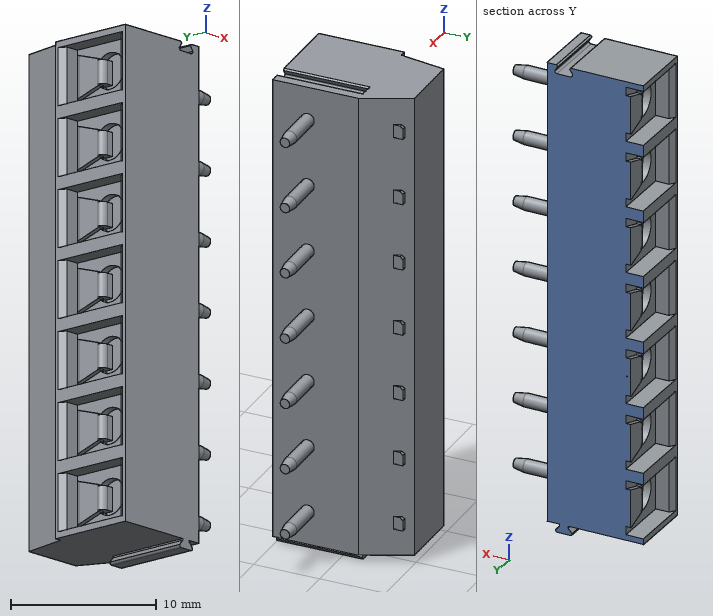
import cadquery as cq

POLE_COUNT = 7
PITCH = 5.08
LENGTH = POLE_COUNT * PITCH
OVERLAP = 0.2

BODY_WIDTH = 7.5
BODY_HEIGHT = 10.0
SHOULDER_Y = 6.5
SHOULDER_DEPTH = 0.5
TOP_LEFT_X = 1.1
TOP_RIGHT_X = 5.9

POCKET_BOTTOM_Y = 0.25
POCKET_TOP_Y = 6.27
POCKET_HEIGHT = 4.15
POCKET_DEPTH = 1.35
LEAD_IN_DEPTH = 0.3
POCKET_FLOOR_BOTTOM_Y = 0.67
POCKET_FLOOR_TOP_Y = 5.7

HOLE_Y = 2.65
HOLE_DIAMETER = 2.62
HOLE_DEPTH = 0.6

GUARD_HEIGHT = 0.37
GUARD_WIDE_Y = 5.58
GUARD_NARROW_Y = 3.43
GUARD_WIDE_WIDTH = 3.3
GUARD_NARROW_WIDTH = 1.94
TAB_WIDTH = 1.72
TAB_BEND_RADIUS = 0.45

PIN_Y = HOLE_Y
PIN_RADIUS = 0.5
PIN_TIP_RADIUS = 0.36
PIN_LENGTH = 3.7
PIN_TIP_LENGTH = 0.85

DOVETAIL_X = 6.2
DOVETAIL_HEIGHT = 0.68
DOVETAIL_SIDE_HEIGHT = 0.2
DOVETAIL_FILLET = 0.15
TONGUE_NECK_WIDTH = 0.7
TONGUE_WIDTH = 1.3
TONGUE_NECK_HEIGHT = 0.12
GROOVE_NECK_WIDTH = 0.88
GROOVE_WIDTH = 1.35
GROOVE_LEAD_IN = 0.12

LUG_LEFT_X = 5.5
LUG_RIGHT_X = 6.5
LUG_BOTTOM_Y = 8.5
LUG_TOP_Y = 9.4
LUG_CHAMFER = 0.2
LUG_LENGTH = 1.0


def pole_centres():
    """Z height of the middle of every pole."""
    return [(index + 0.5) * PITCH for index in range(POLE_COUNT)]


def extrude_along_z(outline, height, centre_z):
    """Prism from XY points, centred on the given Z."""
    plane = cq.Workplane("XY", origin=(0, 0, centre_z))
    return plane.polyline(outline).close().extrude(height / 2, both=True)


def make_body():
    outline = [
        (0, 0),
        (BODY_WIDTH, 0),
        (BODY_WIDTH, SHOULDER_Y),
        (TOP_RIGHT_X, BODY_HEIGHT),
        (TOP_LEFT_X, BODY_HEIGHT),
        (SHOULDER_DEPTH, SHOULDER_Y),
        (0, SHOULDER_Y),
    ]
    return cq.Workplane("XY").polyline(outline).close().extrude(LENGTH)


def make_pocket(z):
    """Rectangular opening with sloped lead-ins, plus the round wire hole."""
    outline = [
        (0, POCKET_BOTTOM_Y),
        (LEAD_IN_DEPTH, POCKET_FLOOR_BOTTOM_Y),
        (POCKET_DEPTH, POCKET_FLOOR_BOTTOM_Y),
        (POCKET_DEPTH, POCKET_FLOOR_TOP_Y),
        (LEAD_IN_DEPTH, POCKET_FLOOR_TOP_Y),
        (0, POCKET_TOP_Y),
    ]
    pocket = extrude_along_z(outline, POCKET_HEIGHT, z)
    hole_plane = cq.Workplane("YZ", origin=(POCKET_DEPTH, HOLE_Y, z))
    hole = hole_plane.circle(HOLE_DIAMETER / 2).extrude(HOLE_DEPTH)
    return pocket.union(hole)


def make_guard(z):
    """Tapered strip with a rounded wide end and a tab bent into the hole."""
    front_x = POCKET_DEPTH - GUARD_HEIGHT
    plate_plane = cq.Workplane("YZ", origin=(front_x, 0, z))
    plate_outline = [
        (GUARD_WIDE_Y, -GUARD_WIDE_WIDTH / 2),
        (GUARD_WIDE_Y, GUARD_WIDE_WIDTH / 2),
        (GUARD_NARROW_Y, GUARD_NARROW_WIDTH / 2),
        (GUARD_NARROW_Y, -GUARD_NARROW_WIDTH / 2),
    ]
    plate = plate_plane.polyline(plate_outline).close().extrude(GUARD_HEIGHT + OVERLAP)
    rounded = (
        cq.Workplane("XY", origin=(0, 0, z))
        .moveTo(front_x, GUARD_NARROW_Y)
        .lineTo(front_x, GUARD_WIDE_Y - GUARD_HEIGHT)
        .radiusArc((POCKET_DEPTH, GUARD_WIDE_Y), GUARD_HEIGHT)
        .lineTo(POCKET_DEPTH + OVERLAP, GUARD_WIDE_Y)
        .lineTo(POCKET_DEPTH + OVERLAP, GUARD_NARROW_Y)
        .close()
        .extrude(GUARD_WIDE_WIDTH, both=True)
    )
    bend_end_y = GUARD_NARROW_Y - TAB_BEND_RADIUS
    hole_bottom_x = POCKET_DEPTH + HOLE_DEPTH
    tab = (
        cq.Workplane("XY", origin=(0, 0, z))
        .moveTo(front_x, GUARD_NARROW_Y + OVERLAP)
        .lineTo(front_x, GUARD_NARROW_Y)
        .radiusArc((front_x + TAB_BEND_RADIUS, bend_end_y), -TAB_BEND_RADIUS)
        .lineTo(hole_bottom_x, bend_end_y)
        .lineTo(hole_bottom_x, GUARD_NARROW_Y + OVERLAP)
        .close()
        .extrude(TAB_WIDTH / 2, both=True)
    )
    return plate.intersect(rounded).union(tab)


def make_pin(z):
    """Round solder pin with a conical tip."""
    shank_length = PIN_LENGTH - PIN_TIP_LENGTH
    profile = [
        (-OVERLAP, 0),
        (-OVERLAP, PIN_RADIUS),
        (shank_length, PIN_RADIUS),
        (PIN_LENGTH, PIN_TIP_RADIUS),
        (PIN_LENGTH, 0),
    ]
    pin = cq.Workplane("XY").polyline(profile).close().revolve(360, (0, 0), (1, 0))
    return pin.translate((BODY_WIDTH, PIN_Y, z))


def make_lug(z):
    outline = [
        (LUG_LEFT_X, LUG_BOTTOM_Y),
        (LUG_RIGHT_X, LUG_BOTTOM_Y),
        (LUG_RIGHT_X, LUG_TOP_Y),
        (LUG_LEFT_X, LUG_TOP_Y),
    ]
    lug = extrude_along_z(outline, LUG_LENGTH, z)
    return lug.edges(">Y and >Z").chamfer(LUG_CHAMFER)


def extrude_dovetail(right_half, top_z):
    """Mirror half an XZ outline, measured down from top_z, and run it along Y."""
    left_half = [(-x, z) for x, z in reversed(right_half)]
    plane = cq.Workplane("XZ", origin=(DOVETAIL_X, 0, top_z))
    dovetail = plane.polyline(right_half + left_half).close().extrude(-SHOULDER_Y)
    return dovetail.edges("<Z and |Y").fillet(DOVETAIL_FILLET)


def make_tongue():
    right_half = [
        (TONGUE_NECK_WIDTH / 2, OVERLAP),
        (TONGUE_NECK_WIDTH / 2, -TONGUE_NECK_HEIGHT),
        (TONGUE_WIDTH / 2, DOVETAIL_SIDE_HEIGHT - DOVETAIL_HEIGHT),
        (TONGUE_WIDTH / 2, -DOVETAIL_HEIGHT),
    ]
    return extrude_dovetail(right_half, 0)


def make_groove():
    right_half = [
        (GROOVE_NECK_WIDTH / 2 + GROOVE_LEAD_IN, 0),
        (GROOVE_NECK_WIDTH / 2, -GROOVE_LEAD_IN),
        (GROOVE_WIDTH / 2, DOVETAIL_SIDE_HEIGHT - DOVETAIL_HEIGHT),
        (GROOVE_WIDTH / 2, -DOVETAIL_HEIGHT),
    ]
    return extrude_dovetail(right_half, LENGTH)


result = make_body().union(make_tongue()).cut(make_groove())
for pole_z in pole_centres():
    result = result.cut(make_pocket(pole_z))
    result = result.union(make_guard(pole_z))
    result = result.union(make_pin(pole_z))
    result = result.union(make_lug(pole_z))